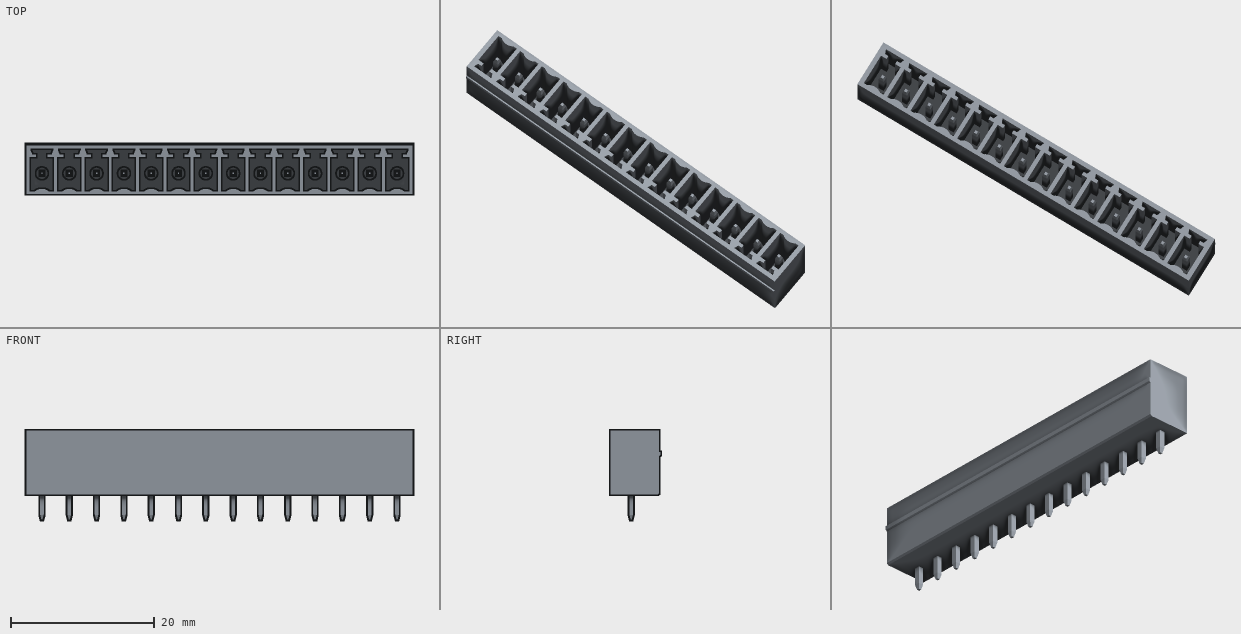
import cadquery as cq

pole_count = 14
pitch = 3.81
end_margin = 2.3

body_length = (pole_count - 1) * pitch + 2 * end_margin
body_height = 9.2
overall_depth = 7.2
rib_depth = 0.2
front_y = -3.0
back_y = front_y + overall_depth - rib_depth
back_edge_chamfer = 0.25

rib_top_z = body_height - 3.0
rib_face_height = 0.6

cavity_depth = 8.0
cavity_floor_z = body_height - cavity_depth
cavity_half_width = 1.6
cavity_front_y = front_y + 0.6
neck_front_y = front_y + 5.2
neck_back_y = front_y + 5.7
neck_half_width = 0.7
cavity_back_y = front_y + 6.35
dovetail_half_width_front = 1.25
dovetail_half_width_back = 1.5
bulge_half_width = 1.05
bulge_depth = 0.35

collar_diameter = 1.8
collar_height = 0.3

pin_width = 0.8
pin_tip_width = 0.4
pin_taper_length = 0.8
pin_bottom_z = -3.5
pin_top_z = 7.8

pin_x_positions = [(i - (pole_count - 1) / 2) * pitch for i in range(pole_count)]


def make_housing():
    """Extrude the end profile, including the latching rib, along X."""
    rib_y = back_y + rib_depth
    rib_slope_z = rib_top_z - rib_face_height
    profile = [
        (front_y, 0),
        (back_y - back_edge_chamfer, 0),
        (back_y, back_edge_chamfer),
        (back_y, rib_slope_z - rib_depth),
        (rib_y, rib_slope_z),
        (rib_y, rib_top_z),
        (back_y, rib_top_z),
        (back_y, body_height),
        (front_y, body_height),
    ]
    section = cq.Workplane("YZ").polyline(profile).close()
    return section.extrude(body_length / 2, both=True)


def make_cavity(x):
    """Plug cavity with a bulged front wall, a narrow neck and a dovetail slot at the back."""
    return (
        cq.Workplane("XY", origin=(x, 0, cavity_floor_z))
        .moveTo(-cavity_half_width, cavity_front_y)
        .lineTo(-bulge_half_width, cavity_front_y)
        .threePointArc((0, cavity_front_y + bulge_depth), (bulge_half_width, cavity_front_y))
        .lineTo(cavity_half_width, cavity_front_y)
        .lineTo(cavity_half_width, neck_front_y)
        .lineTo(neck_half_width, neck_front_y)
        .lineTo(neck_half_width, neck_back_y)
        .lineTo(dovetail_half_width_front, neck_back_y)
        .lineTo(dovetail_half_width_back, cavity_back_y)
        .lineTo(-dovetail_half_width_back, cavity_back_y)
        .lineTo(-dovetail_half_width_front, neck_back_y)
        .lineTo(-neck_half_width, neck_back_y)
        .lineTo(-neck_half_width, neck_front_y)
        .lineTo(-cavity_half_width, neck_front_y)
        .close()
        .extrude(cavity_depth)
    )


def make_collar(x):
    """Low round collar standing on the cavity floor."""
    base = cq.Workplane("XY", origin=(x, 0, cavity_floor_z))
    return base.circle(collar_diameter / 2).extrude(collar_height)


def make_pin(x):
    """Square pin running through the housing floor, tapered at both ends."""
    shank_bottom_z = pin_bottom_z + pin_taper_length
    shank_top_z = pin_top_z - pin_taper_length
    shank = (
        cq.Workplane("XY", origin=(x, 0, shank_bottom_z))
        .rect(pin_width, pin_width)
        .extrude(shank_top_z - shank_bottom_z)
    )
    upper_tip = make_pin_tip(x, shank_top_z, pin_taper_length)
    lower_tip = make_pin_tip(x, shank_bottom_z, -pin_taper_length)
    return shank.union(upper_tip).union(lower_tip)


def make_pin_tip(x, base_z, rise):
    """Square taper from the full pin width; a negative rise points downwards."""
    return (
        cq.Workplane("XY", origin=(x, 0, base_z))
        .rect(pin_width, pin_width)
        .workplane(offset=rise)
        .rect(pin_tip_width, pin_tip_width)
        .loft()
    )


result = make_housing()
for pin_x in pin_x_positions:
    result = result.cut(make_cavity(pin_x))
    result = result.union(make_collar(pin_x))
    result = result.union(make_pin(pin_x))